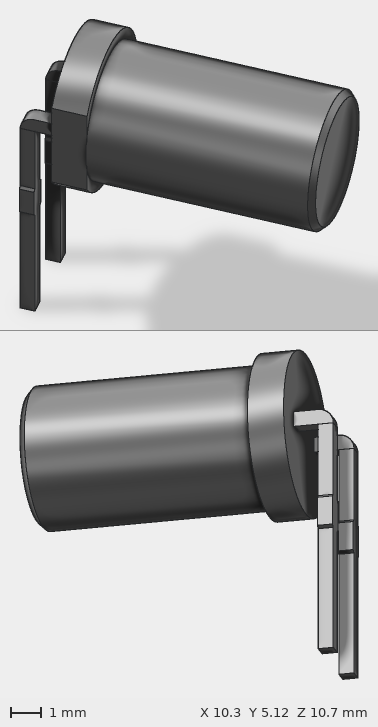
import cadquery as cq

total_length = 10.35
total_height = 10.74

flange_radius = 2.75
flange_thickness = 1.21
flange_flat_offset = 2.25
flange_start = 1.33
axis_height = total_height - flange_radius

barrel_radius = 2.37
barrel_chamfer = 0.2
barrel_start = flange_start + flange_thickness
barrel_length = total_length - barrel_start

lead_width = 0.5
lead_pitch = 2.53
elbow_top = axis_height + lead_width / 2
elbow_bottom = elbow_top - lead_width
bend_radius = 0.49

shoulder_bottom = 4.13
shoulder_top = 5.27
shoulder_projection = 0.09


def axis_plane(x):
    """Plane across the body axis at the given X, with its normal along +X."""
    return cq.Workplane("YZ", origin=(x, 0, axis_height))


def make_flange():
    disc = axis_plane(flange_start).circle(flange_radius).extrude(flange_thickness)
    flat_cutter = cq.Workplane("XY").box(
        flange_thickness,
        flange_radius,
        2 * flange_radius,
        centered=(False, False, True),
    ).translate((flange_start, -flange_flat_offset - flange_radius, axis_height))
    return disc.cut(flat_cutter)


def make_barrel():
    barrel = axis_plane(barrel_start).circle(barrel_radius).extrude(barrel_length)
    return barrel.faces(">X").chamfer(barrel_chamfer)


def make_elbow(y):
    """Horizontal lead piece with a rounded outer corner, ending on the flange back."""
    return (
        cq.Workplane("XY")
        .box(flange_start, lead_width, lead_width, centered=(False, True, False))
        .translate((0, y, elbow_bottom))
        .edges("<X and >Z")
        .fillet(bend_radius)
    )


def make_leg(y):
    """Vertical lead piece from the tip up to the elbow."""
    half_width = lead_width / 2
    shoulder_half_width = half_width + shoulder_projection
    right_edge = [
        (half_width, 0),
        (half_width, shoulder_bottom),
        (shoulder_half_width, shoulder_bottom + shoulder_projection),
        (shoulder_half_width, shoulder_top - shoulder_projection),
        (half_width, shoulder_top),
        (half_width, elbow_bottom),
    ]
    left_edge = [(-across, height) for across, height in reversed(right_edge)]
    return (
        cq.Workplane("YZ", origin=(0, y, 0))
        .polyline(right_edge + left_edge)
        .close()
        .extrude(lead_width)
    )


flange = make_flange()
barrel = make_barrel()

elbows = []
legs = []
for lead_y in (-lead_pitch / 2, lead_pitch / 2):
    elbows.append(make_elbow(lead_y).val())
    legs.append(make_leg(lead_y).val())

result = cq.Compound.makeCompound([flange.val(), barrel.val(), *elbows, *legs])